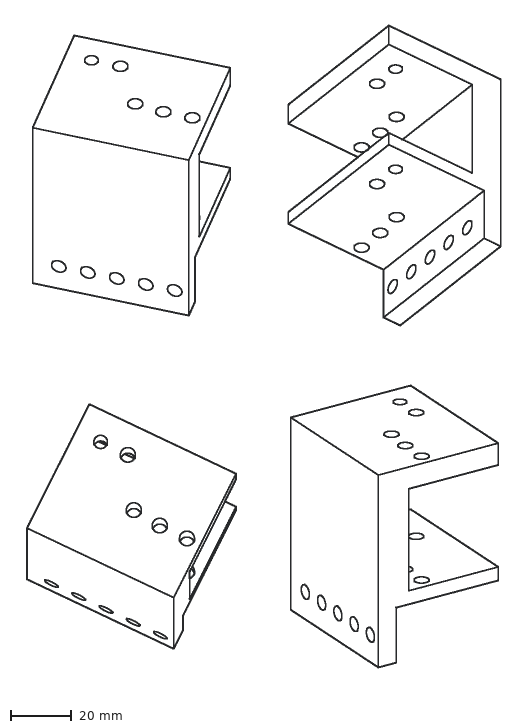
import cadquery as cq

width = 54.0
depth = 47.0
height = 70.0

top_plate_thickness = 8.0
lower_plate_thickness = 5.0
wall_thickness = 12.0
flange_thickness = 7.0
flange_height = 20.0
lower_plate_top = flange_height + lower_plate_thickness
top_plate_bottom = height - top_plate_thickness

hole_diameter = 5.0
small_hole_diameter = 4.5
first_hole_x = 9.0
hole_pitch = 10.0
hole_x = [first_hole_x + i * hole_pitch for i in range(5)]
flange_hole_z = flange_height / 2

outer_row_y = 37.0
middle_hole_y = 21.0
inner_row_y = 20.0
plate_holes = [
    (hole_x[0], outer_row_y, small_hole_diameter),
    (hole_x[1], outer_row_y, hole_diameter),
    (hole_x[2], middle_hole_y, hole_diameter),
    (hole_x[3], inner_row_y, hole_diameter),
    (hole_x[4], inner_row_y, hole_diameter),
]


def bracket_body():
    """Extrude the YZ profile of wall, two plates and lower flange along X."""
    profile = [
        (0, 0),
        (flange_thickness, 0),
        (flange_thickness, flange_height),
        (depth, flange_height),
        (depth, lower_plate_top),
        (wall_thickness, lower_plate_top),
        (wall_thickness, top_plate_bottom),
        (depth, top_plate_bottom),
        (depth, height),
        (0, height),
    ]
    return cq.Workplane("YZ").polyline(profile).close().extrude(width)


def vertical_hole(x, y, diameter):
    """Cutter through both plates."""
    return cq.Workplane("XY").center(x, y).circle(diameter / 2).extrude(height)


def flange_hole(x):
    """Cutter along Y through the lower flange."""
    return (
        cq.Workplane("XZ")
        .center(x, flange_hole_z)
        .circle(hole_diameter / 2)
        .extrude(-flange_thickness)
    )


result = bracket_body()
for x, y, diameter in plate_holes:
    result = result.cut(vertical_hole(x, y, diameter))
for x in hole_x:
    result = result.cut(flange_hole(x))